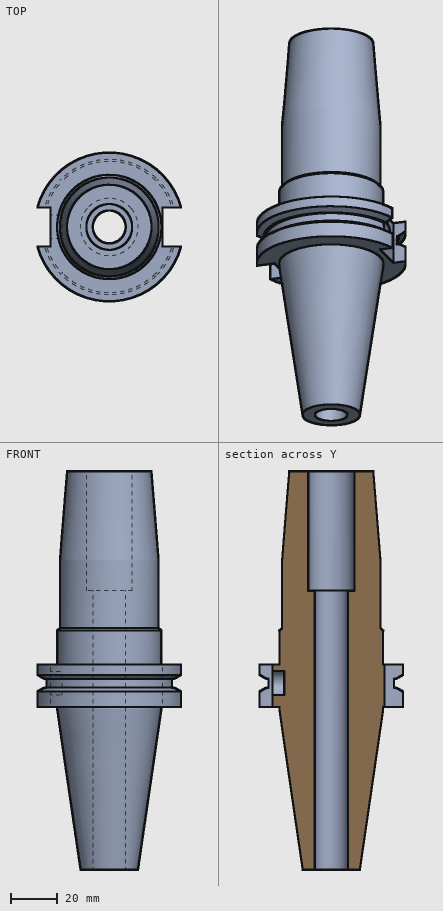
import cadquery as cq

total_length = 169.8

taper_length = 68.5
gauge_radius = 22.3
taper_ratio = 7 / 24
shank_end_radius = gauge_radius - taper_length * taper_ratio / 2

flange_bottom = 69.3
flange_top = 87.5
flange_radius = 31.8
groove_centre = 79.5
groove_floor_radius = 28.0
groove_wall_end_radius = 28.9
groove_floor_width = 3.7
groove_mouth_width = 7.1

shoulder_top = 101.9
shoulder_radius = gauge_radius
chamfer_height = 1.0
body_radius = 21.0
nose_base = 132.0
nose_end_radius = 18.0

slot_width = 16.5
left_slot_floor = 25.1
right_slot_floor = 22.8

side_hole_diameter = 10.0
side_hole_depth = 5.1

tool_bore_diameter = 19.5
tool_bore_depth = 51.0
through_bore_diameter = 14.0


def make_body():
    """Revolve the outer profile, given as (radius, height) points."""
    profile = [
        (0, 0),
        (shank_end_radius, 0),
        (gauge_radius, taper_length),
        (gauge_radius, flange_bottom),
        (flange_radius, flange_bottom),
        (flange_radius, groove_centre - groove_mouth_width / 2),
        (groove_wall_end_radius, groove_centre - groove_floor_width / 2),
        (groove_floor_radius, groove_centre - groove_floor_width / 2),
        (groove_floor_radius, groove_centre + groove_floor_width / 2),
        (groove_wall_end_radius, groove_centre + groove_floor_width / 2),
        (flange_radius, groove_centre + groove_mouth_width / 2),
        (flange_radius, flange_top),
        (shoulder_radius, flange_top),
        (shoulder_radius, shoulder_top),
        (body_radius, shoulder_top + chamfer_height),
        (body_radius, nose_base),
        (nose_end_radius, total_length),
        (0, total_length),
    ]
    return cq.Workplane("XZ").polyline(profile).close().revolve(360, (0, 0), (0, 1))


def drive_slot(side, floor):
    """Cutter for a slot through the flange on the +X (side=1) or -X (side=-1) rim."""
    slot_length = flange_radius
    return (
        cq.Workplane("XY", origin=(side * (floor + slot_length / 2), 0, flange_bottom))
        .rect(slot_length, slot_width)
        .extrude(flange_top - flange_bottom)
    )


def side_hole():
    """Cutter running inwards along +X from the left slot floor."""
    return (
        cq.Workplane("YZ", origin=(-left_slot_floor, 0, groove_centre))
        .circle(side_hole_diameter / 2)
        .extrude(side_hole_depth)
    )


def axial_bore():
    """Cutter for the tool bore and the narrower bore running right through."""
    through_bore = cq.Workplane("XY").circle(through_bore_diameter / 2).extrude(total_length)
    tool_bore = (
        cq.Workplane("XY", origin=(0, 0, total_length))
        .circle(tool_bore_diameter / 2)
        .extrude(-tool_bore_depth)
    )
    return through_bore.union(tool_bore)


result = (
    make_body()
    .cut(drive_slot(-1, left_slot_floor))
    .cut(drive_slot(1, right_slot_floor))
    .cut(side_hole())
    .cut(axial_bore())
)